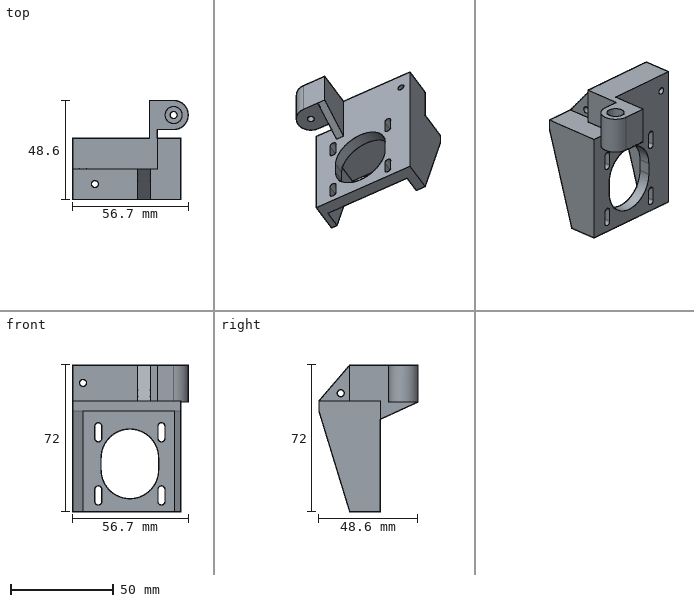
import cadquery as cq

height = 71.95
body_width = 53.0
body_depth = 30.15
step_y = 15.1
motor_plate_thickness = 6.0
left_wall = 5.1
right_wall = 3.2
shelf_top = 54.4
shelf_thickness = 5.05
shelf_bottom = shelf_top - shelf_thickness

block_width = 41.5
rib_x = 31.9
rib_width = 6.25

total_depth = 48.65
arm_thickness = 3.95
arm_root_z = 45.3
boss_radius = 7.2
boss_bottom = 53.8
boss_x = 49.5
boss_y = total_depth - boss_radius
pivot_bore_diameter = 8.35
pivot_bore_depth = 14.4

screw_diameter = 3.3
opening_diameter = 28.05
motor_x = 28.05
motor_z = 23.5
slot_spacing = 30.95
slot_travel = 6.0

block_hole_x, block_hole_z = 5.1, 63.2
shelf_hole_x, shelf_hole_y = 10.95, 7.6
rib_hole_y, rib_hole_z = 10.7, 58.1


def box(x0, x1, y0, y1, z0, z1):
    """Axis-aligned box between two opposite corners."""
    return cq.Workplane("XY").box(x1 - x0, y1 - y0, z1 - z0, centered=False).translate((x0, y0, z0))


def side_profile(x0, thickness, points):
    """Plate with a YZ outline, extruded along +X from x0."""
    return cq.Workplane("YZ", origin=(x0, 0, 0)).polyline(points).close().extrude(thickness)


def side_wall(x0, thickness):
    """Wall whose front edge tapers back towards the bottom."""
    outline = [(0, shelf_bottom), (step_y, 0), (body_depth, 0), (body_depth, shelf_bottom)]
    return side_profile(x0, thickness, outline)


def make_body():
    motor_plate = box(0, body_width, body_depth - motor_plate_thickness, body_depth, 0, shelf_bottom)
    shelf = box(0, body_width, 0, body_depth, shelf_bottom, shelf_top)
    block = box(0, block_width, step_y, body_depth, shelf_top, height)
    rib = side_profile(rib_x, rib_width, [(0, shelf_top), (step_y, shelf_top), (step_y, height)])
    left = side_wall(0, left_wall)
    right = side_wall(body_width - right_wall, right_wall)
    return motor_plate.union(shelf).union(block).union(rib).union(left).union(right)


def make_pivot_arm():
    arm_x = block_width - arm_thickness
    arm_outline = [
        (body_depth, arm_root_z),
        (total_depth, boss_bottom),
        (total_depth, height),
        (body_depth, height),
    ]
    arm = side_profile(arm_x, arm_thickness, arm_outline)
    boss = (
        cq.Workplane("XY", origin=(0, 0, boss_bottom))
        .moveTo(arm_x, boss_y - boss_radius)
        .lineTo(boss_x, boss_y - boss_radius)
        .threePointArc((boss_x + boss_radius, boss_y), (boss_x, boss_y + boss_radius))
        .lineTo(arm_x, boss_y + boss_radius)
        .close()
        .extrude(height - boss_bottom)
    )
    return arm.union(boss)


def cut_motor_mount(part):
    """Elongated motor opening with four vertical slots around it, through the rear plate."""
    mount_plane = cq.Plane.XZ(origin=(motor_x, 0, motor_z))
    opening = (
        cq.Workplane(mount_plane)
        .slot2D(opening_diameter + slot_travel, opening_diameter, 90)
        .extrude(-body_depth)
    )
    slots = (
        cq.Workplane(mount_plane)
        .rect(slot_spacing, slot_spacing, forConstruction=True)
        .vertices()
        .slot2D(screw_diameter + slot_travel, screw_diameter, 90)
        .extrude(-body_depth)
    )
    return part.cut(opening).cut(slots)


def cut_screw_holes(part):
    radius = screw_diameter / 2
    block_hole = cq.Workplane("XZ").center(block_hole_x, block_hole_z).circle(radius).extrude(-body_depth)
    shelf_hole = (
        cq.Workplane("XY", origin=(shelf_hole_x, shelf_hole_y, shelf_bottom))
        .circle(radius)
        .extrude(shelf_thickness)
    )
    rib_hole = (
        cq.Workplane("YZ", origin=(rib_x, rib_hole_y, rib_hole_z))
        .circle(radius)
        .extrude(rib_width)
    )
    return part.cut(block_hole).cut(shelf_hole).cut(rib_hole)


def cut_pivot_bore(part):
    """Wide bore from the top of the boss with a screw hole through its floor."""
    boss_top = cq.Plane.XY(origin=(boss_x, boss_y, height))
    bore = cq.Workplane(boss_top).circle(pivot_bore_diameter / 2).extrude(-pivot_bore_depth)
    screw = cq.Workplane(boss_top).circle(screw_diameter / 2).extrude(boss_bottom - height)
    return part.cut(bore).cut(screw)


result = make_body().union(make_pivot_arm())
result = cut_motor_mount(result)
result = cut_screw_holes(result)
result = cut_pivot_bore(result)